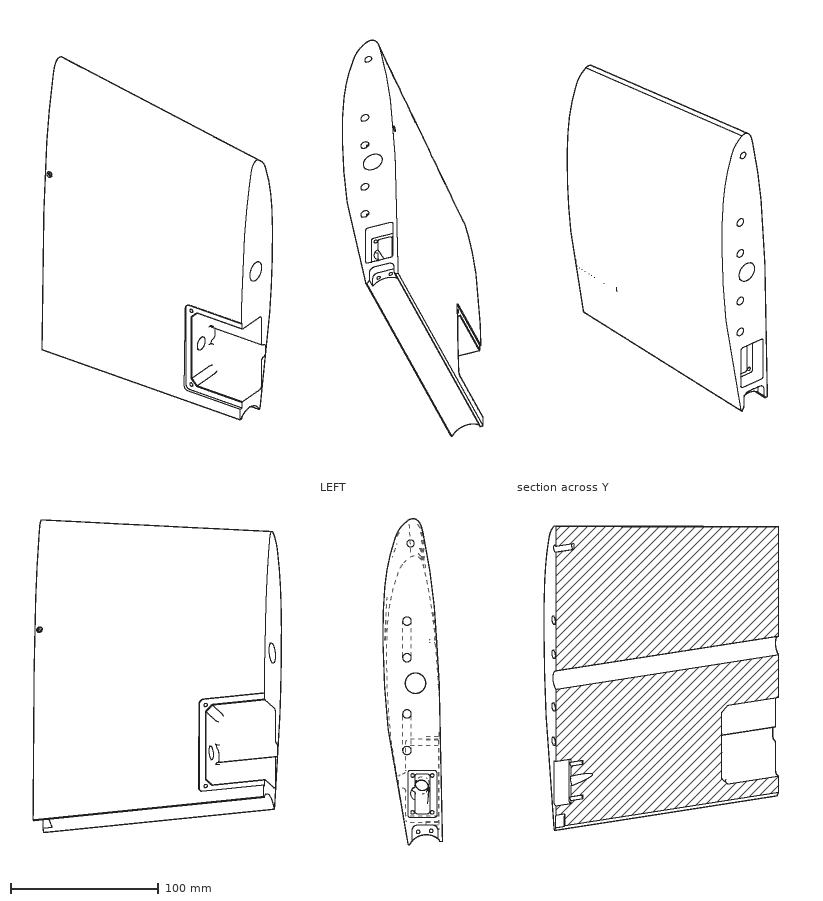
import cadquery as cq
import math

span = 165.0

skin_foot = (0, 2.5)
front_seam = (2.2, 110.0)
front_curve = [(4.2, 142.9), (5.8, 164), (8.5, 185.0), (10.9, 199.3), (13.5, 213.0), (16.5, 219.7), (19.7, 221.5)]
nose_seam = (22.8, 220.8)
back_curve = [(25.2, 218.8), (29.0, 214.8), (33.0, 206), (36.8, 192.0)]
back_curve += [(39.6, 171.0), (40.5, 149.5), (40.3, 129.0), (39.5, 107.9)]
back_knee = (37.0, 78.6)
back_foot = (23.5, 0.7)
back_lip = (22.5, 0)
seam_slope = (0.06, 1)
nose_slope = (1, -0.3)

root_chord, tip_chord = 100, 88.6
root_thickness, tip_thickness = 18.3, 17.2
tip_seam_height = 95.7

trough_radius = 12.8
trough_y = 11.0
trough_top = 7.0
trough_front_y = 2.2
trough_back_y = 21.3

shaft_y, shaft_z = 18.4, 109.9
shaft_radius = 6.9
pin_y, pin_z = 21.7, 204.6
pin_radius = 2.5
pin_depth = 13.3
loop_y = 24.1
loop_heights = (139.5, 76.6)
loop_bend_radius = 12.5
loop_bore_radius = 2.9
set_screw_x, set_screw_z = 3.3, 138.5
set_screw_radius = 1.0
set_screw_depth = 8.9
set_screw_head_radius = 2.0
set_screw_head_depth = 5.5

box_y, box_z = 13.7, 34.8
box_width, box_height = 19.7, 32.0
box_depth = 11
box_corner = 1.8
well_width, well_height = 10.2, 27.0
well_corner = 1.8
box_screw_spacing = (13.3, 25.0)
screw_radius = 1.22
screw_depth = 8.9

seat_front_y, seat_back_y = 3.0, 20.8
seat_top = 13.7
seat_depth = 6.5
seat_corner = 4.0
seat_screws = [(16.6, 9.0), (7.8, 9.7)]

pocket_z = 43.6
cover_x = 118.3
cover_half_height = 33.0
cover_floor_y = 2.5
cover_corner = 3.3
pocket_rim = 0.5
pocket_x = 123.0
pocket_half_height = 28.3
pocket_floor_y = 25.0
pocket_corner = 4.5
pocket_fillet = 2.2
cover_screw_x = 122.7
cover_screw_half_spacing = 28.8
groove_half_width = 2.1
groove_lip_radius = 2.2
groove_root_radius = 2.7
groove_floor_y = pocket_floor_y + groove_lip_radius + groove_root_radius

tunnel_radius = 4.7
throat = cq.Vector(39.9, 14.5, 39.5)
tunnel_end = cq.Vector(pocket_x + groove_root_radius, 13.7, 41.9)
side_bore_start = cq.Vector(box_depth, 17.0, 35.0)


def scaled(points, y_ratio, z_ratio):
    return [(y * y_ratio, z * z_ratio) for y, z in points]


def trough_height(y):
    centre_z = trough_top - trough_radius
    return centre_z + math.sqrt(trough_radius ** 2 - (y - trough_y) ** 2)


def draw_section(plane, y_ratio, z_ratio, seam_height):
    """Closed blade section; the trailing edge stays the same along the span."""
    seam = (front_seam[0] * y_ratio, seam_height)
    nose = scaled([nose_seam], y_ratio, z_ratio)
    knee = scaled([back_knee], y_ratio, z_ratio)
    front = scaled(front_curve, y_ratio, z_ratio)
    back = scaled(back_curve, y_ratio, z_ratio)
    return (
        plane.moveTo(*skin_foot)
        .lineTo(*seam)
        .spline(front + nose, tangents=[seam_slope, nose_slope], includeCurrent=True)
        .spline(back + knee, includeCurrent=True)
        .lineTo(*back_foot)
        .lineTo(*back_lip)
        .lineTo(trough_back_y, trough_height(trough_back_y))
        .threePointArc((trough_y, trough_top), (trough_front_y, trough_height(trough_front_y)))
        .lineTo(trough_front_y, skin_foot[1])
        .close()
    )


def make_blade():
    root = draw_section(cq.Workplane("YZ"), 1, 1, front_seam[1])
    thickness_ratio = tip_thickness / root_thickness
    chord_ratio = tip_chord / root_chord
    tip_plane = root.workplane(offset=span)
    return draw_section(tip_plane, thickness_ratio, chord_ratio, tip_seam_height).loft(ruled=True)


def bore(points, radius, depth):
    """Round bores along X at (Y, Z) points."""
    return cq.Workplane("YZ").pushPoints(points).circle(radius).extrude(depth)


def loop_passage(centre_z):
    """Ring centred in the root face; the half inside the blade is the passage."""
    ring = cq.Solid.makeTorus(
        loop_bend_radius, loop_bore_radius, cq.Vector(0, loop_y, centre_z), cq.Vector(0, 1, 0)
    )
    return cq.Workplane(ring)


def root_bores_cut():
    shaft = bore([(shaft_y, shaft_z)], shaft_radius, span)
    pin = bore([(pin_y, pin_z)], pin_radius, pin_depth)
    set_screw_plane = cq.Workplane("XZ").center(set_screw_x, set_screw_z)
    set_screw = set_screw_plane.circle(set_screw_radius).extrude(-set_screw_depth)
    set_screw_head = set_screw_plane.circle(set_screw_head_radius).extrude(-set_screw_head_depth)
    cuts = shaft.union(pin).union(set_screw).union(set_screw_head)
    for centre_z in loop_heights:
        cuts = cuts.union(loop_passage(centre_z))
    return cuts


def root_pocket_cut():
    face = cq.Workplane("YZ").center(box_y, box_z)
    box = face.rect(box_width, box_height).extrude(box_depth).edges("|X").fillet(box_corner)
    screws = face.rect(*box_screw_spacing, forConstruction=True).vertices()
    screws = screws.circle(screw_radius).extrude(box_depth + screw_depth)
    return box.union(screws)


def hinge_seat_cut():
    seat = (
        cq.Workplane("YZ")
        .moveTo(seat_front_y, 0)
        .lineTo(seat_back_y, 0)
        .lineTo(seat_back_y, seat_top)
        .lineTo(seat_front_y, seat_top)
        .close()
        .extrude(seat_depth)
        .edges("|X and >Z")
        .fillet(seat_corner)
    )
    return seat.union(bore(seat_screws, screw_radius, seat_depth + screw_depth))


def front_block(start_x, half_height, floor_y):
    """Block from the front skin to floor_y, running out past the tip."""
    margin = pocket_corner
    return (
        cq.Workplane("XY")
        .box(span + margin - start_x, floor_y + margin, 2 * half_height, centered=(False, False, True))
        .translate((start_x, -margin, pocket_z))
    )


def side_pocket_cut():
    cover = front_block(cover_x, cover_half_height, cover_floor_y).edges("|Y and <X").fillet(cover_corner)
    pocket = front_block(pocket_x, pocket_half_height, pocket_floor_y)
    pocket = pocket.edges("|Y and <X").chamfer(pocket_corner)
    pocket = pocket.faces(">Y").edges("not >X").fillet(pocket_fillet)
    rim = front_block(pocket_x - pocket_rim, pocket_half_height + pocket_rim, cover_floor_y + pocket_rim)
    rim = rim.edges("|Y and <X").chamfer(pocket_corner + pocket_rim * (2 - math.sqrt(2)))
    rim = rim.faces(">Y").edges("not >X").chamfer(pocket_rim)
    screw_heights = (pocket_z - cover_screw_half_spacing, pocket_z + cover_screw_half_spacing)
    screws = (
        cq.Workplane("XZ")
        .pushPoints([(cover_screw_x, z) for z in screw_heights])
        .circle(screw_radius)
        .extrude(-cover_floor_y - screw_depth)
    )
    return cover.union(pocket).union(rim).union(screws)


def groove_cut():
    """Groove along the side pocket floor with rounded lips and rounded floor corners."""
    lip, root = groove_lip_radius, groove_root_radius
    bend = 1 - math.sqrt(0.5)
    wall = groove_half_width + root
    mouth = wall + lip
    wall_y = pocket_floor_y + lip
    lip_mid = (pocket_floor_y + lip * bend, wall + lip * bend)
    root_mid = (groove_floor_y - root * bend, wall - root * bend)
    outline = (
        cq.Workplane("YZ", origin=(pocket_x, 0, pocket_z))
        .moveTo(pocket_floor_y, -mouth)
        .threePointArc((lip_mid[0], -lip_mid[1]), (wall_y, -wall))
        .threePointArc((root_mid[0], -root_mid[1]), (groove_floor_y, -groove_half_width))
        .lineTo(groove_floor_y, groove_half_width)
        .threePointArc(root_mid, (wall_y, wall))
        .threePointArc(lip_mid, (pocket_floor_y, mouth))
        .lineTo(pocket_floor_y - lip, mouth)
        .lineTo(pocket_floor_y - lip, -mouth)
        .close()
    )
    return outline.extrude(span - pocket_x)


def bore_between(start, end):
    """Tunnel bore between two points."""
    path = end - start
    return cq.Workplane(cq.Solid.makeCylinder(tunnel_radius, path.Length, start, path))


def funnel_cut():
    """Funnel narrowing from a rounded rectangle in the box floor to the round throat."""
    mouth_shape = cq.Sketch().rect(well_width, well_height).vertices().fillet(well_corner)
    throat_shape = cq.Sketch().circle(tunnel_radius)
    mouth_place = cq.Location(cq.Plane.named("YZ", origin=(box_depth, box_y, box_z)))
    throat_place = cq.Location(cq.Plane.named("YZ", origin=throat.toTuple()))
    return (
        cq.Workplane()
        .placeSketch(mouth_shape.moved(mouth_place), throat_shape.moved(throat_place))
        .loft()
    )


throat_ball = cq.Solid.makeSphere(tunnel_radius, throat, angleDegrees1=-90)

result = (
    make_blade()
    .cut(root_bores_cut())
    .cut(root_pocket_cut())
    .cut(hinge_seat_cut())
    .cut(side_pocket_cut())
    .cut(groove_cut())
    .cut(funnel_cut())
    .cut(bore_between(side_bore_start, throat))
    .cut(bore_between(throat, tunnel_end))
    .cut(cq.Workplane(throat_ball))
)